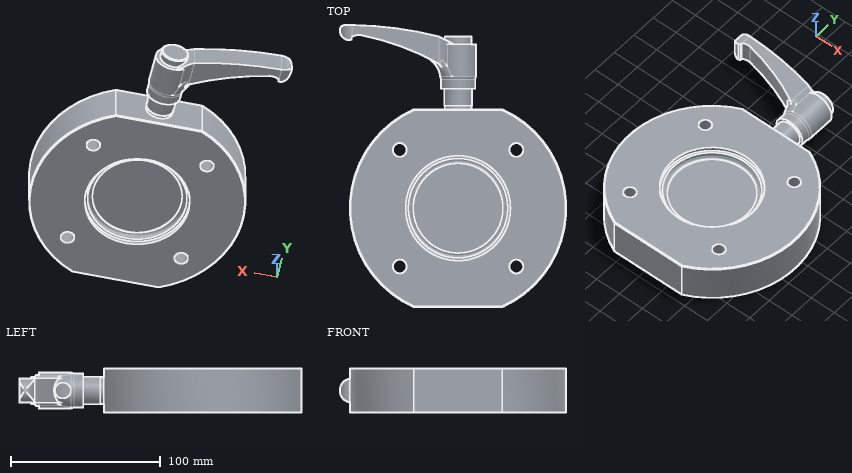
import cadquery as cq
import math

housing_radius = 72.3
housing_thickness = 30.0
flat_width = 132.0
flat_distance = flat_width / 2
rim_chamfer = 0.5

bolt_circle_radius = 55.0
bolt_hole_diameter = 9.0
bolt_count = 4
first_bolt_angle = 45

recess_radius = 35.0
recess_depth = 3.2
throat_radius = 33.1
disc_radius = 30.0
disc_depth = 6.0

overall_length = 188.3
lever_tip_y = overall_length - flat_distance
neck_radius = 9.0
neck_end_y = 68.4
stem_diameter = 18.6
stem_radius = stem_diameter / 2
stem_end_y = 79.7
collar_radius = 11.5
collar_end_y = 86.0
hub_radius = 12.0
hub_start_y = 88.0
hub_end_y = 109.2
cap_radius = 9.0
cap_end_y = 114.9
cap_chamfer = 0.5

arm_half_width = 8.1
arm_tip_x = -79.0
tip_y = 118.6
tip_lower_radius = 6.5
tip_upper_radius = lever_tip_y - tip_y
hook_x = -70.8
hook_corner_y = 112.6
hook_root_y = 114.1
hook_relief_middle = (-68.7, 115.0)
grip_start = (-65.0, 115.5)

flare_start_x = -13.0
flare_end_x = -6.0
arm_back_middle = (-41.5, 120.1)
arm_back_end = (flare_start_x, 114.7)
arm_back_foot_x = -2.5
arm_belly_middle = (-37.7, 107.7)
arm_belly_end = (flare_start_x, 96.5)

root_top_y = 99.8
root_top_x = -10.5
root_belly_middle = (-13.5, 93.2)
root_belly_end = (root_top_x - arm_half_width, 99.0)


def make_housing():
    """Round plate with two flat sides, bolt holes and a disc recess in each face."""
    half = housing_thickness / 2
    body = cq.Workplane("XY").circle(housing_radius).extrude(half, both=True)
    flats = cq.Workplane("XY").rect(2 * housing_radius, flat_width).extrude(half, both=True)
    body = body.intersect(flats).faces("|Z").chamfer(rim_chamfer)

    holes = (
        cq.Workplane("XY")
        .polarArray(bolt_circle_radius, first_bolt_angle, 360, bolt_count)
        .circle(bolt_hole_diameter / 2)
        .extrude(half, both=True)
    )
    recess = make_disc_recess()
    return body.cut(holes).cut(recess).cut(recess.mirror("XY"))


def make_disc_recess():
    """Stepped opening over the disc, with a round groove along the disc edge."""
    top = housing_thickness / 2
    groove_radius = (throat_radius - disc_radius) / 2
    disc_z = top - disc_depth
    return (
        cq.Workplane("XZ")
        .moveTo(0, top)
        .lineTo(recess_radius, top)
        .lineTo(recess_radius, top - recess_depth)
        .lineTo(throat_radius, top - recess_depth)
        .lineTo(throat_radius, disc_z)
        .threePointArc((throat_radius - groove_radius, disc_z - groove_radius), (disc_radius, disc_z))
        .lineTo(0, disc_z)
        .close()
        .revolve(360, (0, 0, 0), (0, 1, 0))
    )


def make_lever():
    """Clamping lever standing on the flat +Y side of the housing."""
    turned = (
        cq.Workplane("XY")
        .moveTo(0, flat_distance)
        .lineTo(neck_radius, flat_distance)
        .lineTo(neck_radius, neck_end_y)
        .lineTo(stem_radius, neck_end_y)
        .lineTo(stem_radius, stem_end_y)
        .lineTo(collar_radius, stem_end_y)
        .lineTo(collar_radius, collar_end_y)
        .lineTo(hub_radius, hub_start_y)
        .lineTo(hub_radius, hub_end_y)
        .lineTo(cap_radius, hub_end_y)
        .lineTo(cap_radius, cap_end_y - cap_chamfer)
        .lineTo(cap_radius - cap_chamfer, cap_end_y)
        .lineTo(0, cap_end_y)
        .close()
        .revolve(360, (0, 0, 0), (0, 1, 0))
    )
    return turned.union(make_arm()).union(make_arm_root())


def make_arm():
    """Arm: curved side profile limited to a plan outline with a round tip."""
    lower_center_x = arm_tip_x + tip_lower_radius
    upper_center_x = arm_tip_x + tip_upper_radius
    diagonal = math.sqrt(0.5)
    lower_tip_middle = (
        lower_center_x - tip_lower_radius * diagonal,
        tip_y - tip_lower_radius * diagonal,
    )
    upper_tip_middle = (
        upper_center_x - tip_upper_radius * diagonal,
        tip_y + tip_upper_radius * diagonal,
    )
    side = (
        cq.Workplane("XY")
        .moveTo(hook_x, lever_tip_y)
        .threePointArc(arm_back_middle, arm_back_end)
        .lineTo(arm_back_foot_x, hub_end_y)
        .lineTo(0, hub_end_y)
        .lineTo(0, hub_start_y)
        .lineTo(flare_end_x, hub_start_y)
        .lineTo(*arm_belly_end)
        .threePointArc(arm_belly_middle, grip_start)
        .threePointArc(hook_relief_middle, (hook_x, hook_root_y))
        .lineTo(hook_x, hook_corner_y)
        .lineTo(lower_center_x, tip_y - tip_lower_radius)
        .threePointArc(lower_tip_middle, (arm_tip_x, tip_y))
        .threePointArc(upper_tip_middle, (upper_center_x, lever_tip_y))
        .close()
        .extrude(hub_radius, both=True)
    )
    return side.intersect(make_arm_plan())


def make_arm_root():
    """Rounded root leading from the hub into the underside of the arm."""
    skewed_cone = (
        cq.Workplane("XZ", origin=(0, hub_start_y, 0))
        .circle(hub_radius)
        .workplane(offset=hub_start_y - root_top_y)
        .center(root_top_x, 0)
        .circle(arm_half_width)
        .loft()
    )
    side = (
        cq.Workplane("XY")
        .moveTo(-hub_radius, hub_start_y)
        .threePointArc(root_belly_middle, root_belly_end)
        .lineTo(root_belly_end[0], root_top_y)
        .lineTo(0, root_top_y)
        .lineTo(0, hub_start_y)
        .close()
        .extrude(hub_radius, both=True)
    )
    return skewed_cone.intersect(side)


def make_arm_plan():
    """Outline of the arm in XZ: round tip, parallel sides, widening to the hub."""
    flare_z = math.sqrt(hub_radius**2 - flare_end_x**2)
    tip_center_x = arm_tip_x + arm_half_width
    bend_x = (flare_start_x + flare_end_x) / 2
    bend_z = arm_half_width + (flare_z - arm_half_width) / 4
    return (
        cq.Workplane("XZ")
        .moveTo(0, flare_z)
        .lineTo(flare_end_x, flare_z)
        .threePointArc((bend_x, bend_z), (flare_start_x, arm_half_width))
        .lineTo(tip_center_x, arm_half_width)
        .threePointArc((arm_tip_x, 0), (tip_center_x, -arm_half_width))
        .lineTo(flare_start_x, -arm_half_width)
        .threePointArc((bend_x, -bend_z), (flare_end_x, -flare_z))
        .lineTo(0, -flare_z)
        .close()
        .extrude(-overall_length)
    )


housing = make_housing()
lever = make_lever()

result = cq.Compound.makeCompound([housing.val(), lever.val()])